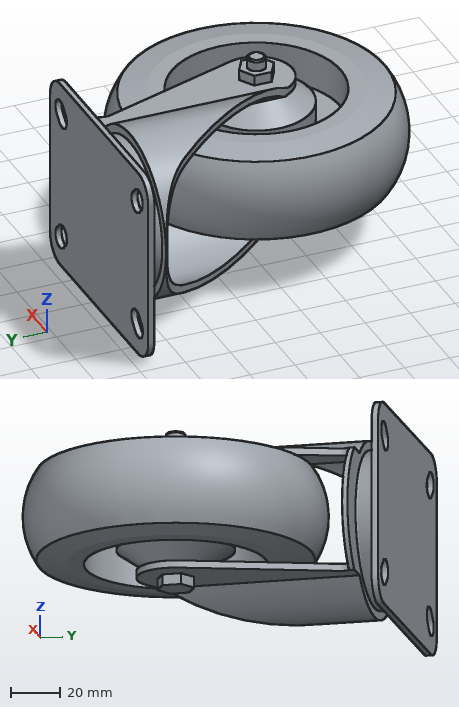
import cadquery as cq
import math


plate_length = 100.0
plate_width = 85.0
plate_thickness = 2.7
plate_corner_radius = 10.0
slot_offset_x = 38.7
slot_offset_z = 28.8
slot_width = 9.0
slot_length = 12.5

cup_top_radius = 36.0
cup_waist_radius = 34.9
cup_waist_depth = 4.0
cup_shoulder_radius = 35.2
cup_bottom_radius = 32.9
cup_shoulder_depth = 5.2
cup_neck_depth = 12.7

fork_depth = 13.7
fork_radius = 73.5 / 2
fork_wall = 3.0
web_thickness = 2.3
arm_outer_z = 25.9
arm_inner_z = arm_outer_z - fork_wall
arm_end_radius = 16.0
front_edge_x = 34.5
front_edge_depth = 20.0
front_edge_top_x = 34.9
front_relief_x = 34.1
front_relief_depth = 18.1
rear_bend_x = -18.6
rear_bend_depth = 30.0
tab_end_x = 46.6

wheel_radius = 62.5
overall_length = 152.4
overall_depth = 150.0
axle_x = overall_length - plate_length / 2 - wheel_radius
axle_depth = overall_depth - wheel_radius
tread_edge_radius = 56.9
tread_edge_z = 18.3
wheel_face_z = 20.1
rim_outer_radius = 44.7
rim_bore_radius = 75.0 / 2
wheel_web_z = 3.0
hub_radius = 48.5 / 2
hub_shoulder_z = 14.2
hub_top_radius = 11.5

bolt_radius = 8.0 / 2
bolt_end_z = 35.4
bolt_chamfer = 0.8
nut_across_flats = 13.4
nut_height = 4.5


def tangent_point(x, depth, side):
    """Point where a line from (x, -depth) touches the arm's round end; side picks which of the two."""
    dx = x - axle_x
    dy = axle_depth - depth
    angle = math.atan2(dy, dx) + side * math.acos(arm_end_radius / math.hypot(dx, dy))
    return (
        axle_x + arm_end_radius * math.cos(angle),
        -axle_depth + arm_end_radius * math.sin(angle),
    )


def make_plate():
    plate = (
        cq.Workplane("XZ")
        .rect(plate_length, plate_width)
        .extrude(plate_thickness)
        .edges("|Y")
        .fillet(plate_corner_radius)
    )
    for side_x in (-1, 1):
        for side_z in (-1, 1):
            slot = (
                cq.Workplane("XZ")
                .center(side_x * slot_offset_x, side_z * slot_offset_z)
                .slot2D(slot_length, slot_width, 45 * side_x * side_z)
                .extrude(plate_thickness)
            )
            plate = plate.cut(slot)
    return plate


def make_cup():
    return (
        cq.Workplane("XY")
        .moveTo(0, -plate_thickness)
        .lineTo(cup_top_radius, -plate_thickness)
        .threePointArc(
            (cup_waist_radius, -cup_waist_depth),
            (cup_shoulder_radius, -cup_shoulder_depth),
        )
        .lineTo(cup_bottom_radius, -cup_neck_depth)
        .lineTo(cup_bottom_radius, -fork_depth)
        .lineTo(0, -fork_depth)
        .close()
        .revolve(360, (0, 0, 0), (0, 1, 0))
    )


def fork_section(radius, half_width, depth, end_depth):
    """Round-backed U section, running along Y from depth to end_depth."""
    corner_x = math.sqrt(radius**2 - half_width**2)
    end_x = axle_x + arm_end_radius
    return (
        cq.Workplane("XZ", origin=(0, -depth, 0))
        .moveTo(end_x, half_width)
        .lineTo(corner_x, half_width)
        .threePointArc((-radius, 0), (corner_x, -half_width))
        .lineTo(end_x, -half_width)
        .close()
        .extrude(end_depth - depth)
    )


def make_fork():
    end_depth = axle_depth + arm_end_radius
    body = fork_section(fork_radius, arm_outer_z, fork_depth, end_depth)
    inside = fork_section(fork_radius - fork_wall, arm_inner_z, fork_depth + web_thickness, end_depth)
    front_tangent = tangent_point(front_edge_x, front_edge_depth, -1)
    rear_tangent = tangent_point(rear_bend_x, rear_bend_depth, 1)
    side_outline = (
        cq.Workplane("XY", origin=(0, 0, -fork_radius))
        .moveTo(-fork_radius, -fork_depth)
        .lineTo(front_edge_top_x, -fork_depth)
        .lineTo(front_edge_top_x, -fork_depth - web_thickness)
        .threePointArc(
            (front_relief_x, -front_relief_depth),
            (front_edge_x, -front_edge_depth),
        )
        .lineTo(*front_tangent)
        .threePointArc((axle_x, -axle_depth - arm_end_radius), rear_tangent)
        .lineTo(rear_bend_x, -rear_bend_depth)
        .tangentArcPoint((-fork_radius, -fork_depth), relative=False)
        .close()
        .extrude(2 * fork_radius)
    )
    tab = (
        cq.Workplane("XZ", origin=(0, -fork_depth, 0))
        .moveTo(0, -arm_outer_z)
        .lineTo(front_edge_top_x, -arm_outer_z)
        .threePointArc((tab_end_x, 0), (front_edge_top_x, arm_outer_z))
        .lineTo(0, arm_outer_z)
        .close()
        .extrude(web_thickness)
    )
    return body.cut(inside).intersect(side_outline).union(tab)


def make_wheel():
    tyre = (
        cq.Workplane("XZ")
        .moveTo(0, -tread_edge_z)
        .lineTo(tread_edge_radius, -tread_edge_z)
        .threePointArc((wheel_radius, 0), (tread_edge_radius, tread_edge_z))
        .lineTo(0, tread_edge_z)
        .close()
        .revolve(360, (0, 0, 0), (0, 1, 0))
    )
    face = (
        cq.Workplane("XZ")
        .moveTo(0, tread_edge_z)
        .lineTo(tread_edge_radius, tread_edge_z)
        .lineTo(rim_outer_radius, wheel_face_z)
        .lineTo(0, wheel_face_z)
        .close()
        .revolve(360, (0, 0, 0), (0, 1, 0))
    )
    recess = (
        cq.Workplane("XY", origin=(0, 0, wheel_web_z))
        .circle(rim_bore_radius)
        .extrude(wheel_face_z - wheel_web_z)
    )
    hub = (
        cq.Workplane("XZ")
        .lineTo(hub_radius, 0)
        .lineTo(hub_radius, hub_shoulder_z)
        .lineTo(hub_top_radius, arm_inner_z)
        .lineTo(0, arm_inner_z)
        .close()
        .revolve(360, (0, 0, 0), (0, 1, 0))
    )
    wheel = tyre.union(face).union(face.mirror("XY"))
    wheel = wheel.cut(recess).cut(recess.mirror("XY"))
    wheel = wheel.union(hub).union(hub.mirror("XY"))
    return wheel.translate((axle_x, -axle_depth, 0))


def make_axle():
    nut_corner_diameter = nut_across_flats / math.cos(math.pi / 6)
    nut_end_z = arm_outer_z + nut_height
    hexes = (
        cq.Workplane("XY", origin=(0, 0, -nut_end_z))
        .polygon(6, nut_corner_diameter)
        .extrude(nut_height)
        .union(
            cq.Workplane("XY", origin=(0, 0, arm_outer_z))
            .polygon(6, nut_corner_diameter)
            .extrude(nut_height)
        )
        .rotate((0, 0, 0), (0, 0, 1), 30)
    )
    bolt = (
        cq.Workplane("XY", origin=(0, 0, -arm_outer_z))
        .circle(bolt_radius)
        .extrude(bolt_end_z + arm_outer_z)
        .faces(">Z")
        .chamfer(bolt_chamfer)
    )
    return hexes.union(bolt).translate((axle_x, -axle_depth, 0))


result = make_plate().union(make_cup()).union(make_fork()).union(make_wheel()).union(make_axle())